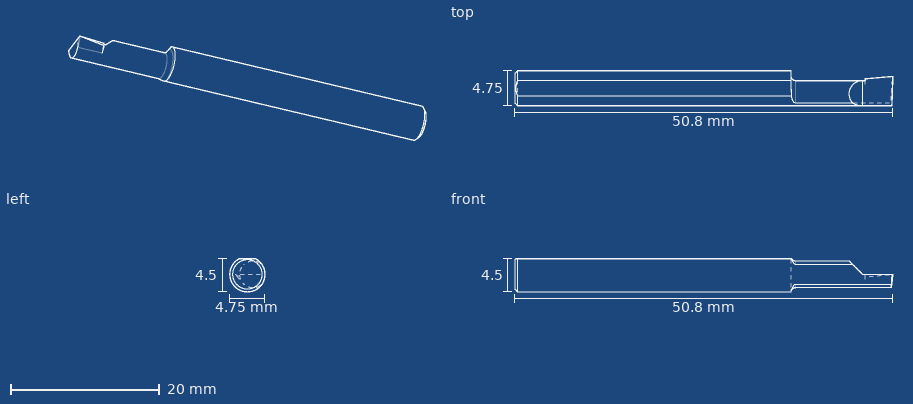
import cadquery as cq
import math

length = 50.8
shank_diameter = 4.75
shank_radius = shank_diameter / 2
height = 4.5
flat_height = height - shank_radius
shank_length = 37.1
rear_chamfer = 0.4

neck_radius = 1.8
neck_center_y = -0.76
neck_fillet = 0.6

rake_start = 46.7
rake_ramp_angle = 45

tooth_start = 47.05
tip_y = 1.61
back_taper_angle = 5.0
nose_radius = 0.1
end_angle = 2.0
end_relief_angle = 5.0

clearance = 5.0


def cylinder_x(radius, start, end, center_y=0):
    """Cylinder parallel to X between two X positions."""
    return (
        cq.Workplane("YZ", origin=(start, 0, 0))
        .center(center_y, 0)
        .circle(radius)
        .extrude(end - start)
    )


def make_shank():
    return cylinder_x(shank_radius, 0, shank_length).faces("<X").chamfer(rear_chamfer)


def make_flat_cut():
    """Space above the flat, which also trims the top of the neck fillet."""
    return (
        cq.Workplane("XY", origin=(length / 2, 0, flat_height))
        .rect(length + clearance, shank_diameter + clearance)
        .extrude(clearance)
    )


def make_neck():
    """Offset neck that flares through a concave fillet at the shoulder."""
    flare_end = shank_length + neck_fillet
    flare_radius = neck_radius + neck_fillet
    arc_reach = neck_fillet * math.sqrt(0.5)
    profile = (
        cq.Workplane("XY")
        .moveTo(shank_length, neck_center_y)
        .lineTo(shank_length, neck_center_y + flare_radius)
        .threePointArc(
            (flare_end - arc_reach, neck_center_y + flare_radius - arc_reach),
            (flare_end, neck_center_y + neck_radius),
        )
        .lineTo(length, neck_center_y + neck_radius)
        .lineTo(length, neck_center_y)
        .close()
    )
    return profile.revolve(360, (0, neck_center_y, 0), (1, neck_center_y, 0))


def make_end_cut():
    """Block whose inner face passes through the tip, angled back toward -Y and downward."""
    block_width = 4 * shank_diameter
    return (
        cq.Workplane("YZ")
        .rect(block_width, block_width)
        .extrude(clearance)
        .rotate((0, 0, 0), (0, 1, 0), end_relief_angle)
        .rotate((0, 0, 0), (0, 0, 1), -end_angle)
        .translate((length, tip_y, 0))
    )


def make_tooth():
    """Tooth below the rake face; its flank runs tangent into the neck."""
    tip_offset = tip_y - neck_center_y
    flank_angle = math.acos(neck_radius / tip_offset)
    tangent_y = neck_center_y + neck_radius * math.cos(flank_angle)
    tangent_z = -neck_radius * math.sin(flank_angle)
    section = (
        cq.Workplane("YZ", origin=(tooth_start, 0, 0))
        .moveTo(neck_center_y, 0)
        .lineTo(tip_y, 0)
        .lineTo(tangent_y, tangent_z)
        .close()
        .extrude(length - tooth_start)
    )
    back_y = tip_y - (length - tooth_start) * math.tan(math.radians(back_taper_angle))
    tapered_outline = (
        cq.Workplane("XY", origin=(0, 0, -shank_radius))
        .polyline([
            (tooth_start, -shank_radius),
            (length, -shank_radius),
            (length, tip_y),
            (tooth_start, back_y),
        ])
        .close()
        .extrude(shank_diameter)
    )
    tooth = section.intersect(tapered_outline).cut(make_end_cut())
    nose_middle = (length, (tip_y + tangent_y) / 2, tangent_z / 2)
    return tooth.edges(cq.selectors.NearestToPointSelector(nose_middle)).fillet(nose_radius)


def make_rake_cut():
    """Space above the rake face, with a sloped ramp back up to the neck."""
    ramp_run = shank_radius / math.tan(math.radians(rake_ramp_angle))
    return (
        cq.Workplane("XZ")
        .polyline([
            (rake_start, 0),
            (rake_start - ramp_run, shank_radius),
            (length + clearance, shank_radius),
            (length + clearance, 0),
        ])
        .close()
        .extrude(shank_diameter, both=True)
    )


neck = make_neck().intersect(cylinder_x(shank_radius, shank_length, length)).cut(make_end_cut())
bar = make_shank().union(neck).union(make_tooth())
result = bar.cut(make_rake_cut()).cut(make_flat_cut())